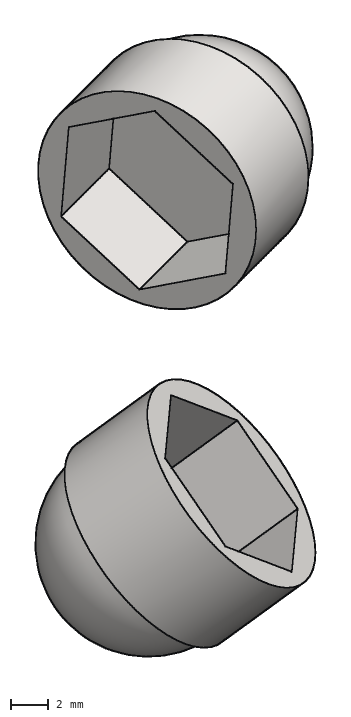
import cadquery as cq
import math

skirt_diameter = 13.0
skirt_length = 6.0
cap_length = 12.0
dome_radius = cap_length - skirt_length

socket_corner_radius = 5.67
socket_tilt = 4.6
socket_depth = 5.5


def make_body():
    """Skirt and half-ball dome, turned as one profile about the Y axis."""
    skirt_radius = skirt_diameter / 2
    dome_middle = dome_radius * math.sqrt(0.5)
    profile = (
        cq.Workplane("XY")
        .lineTo(skirt_radius, 0)
        .lineTo(skirt_radius, skirt_length)
        .lineTo(dome_radius, skirt_length)
        .threePointArc((dome_middle, skirt_length + dome_middle), (0, cap_length))
        .close()
    )
    return profile.revolve(360, (0, 0, 0), (0, 1, 0))


def make_socket():
    """Blind hexagonal socket, drawn with a corner at the top and then tilted."""
    open_end = cq.Plane(origin=(0, 0, 0), xDir=(0, 0, 1), normal=(0, 1, 0))
    hexagon = cq.Workplane(open_end).polygon(6, 2 * socket_corner_radius)
    return hexagon.extrude(socket_depth).rotate((0, 0, 0), (0, 1, 0), socket_tilt)


result = make_body().cut(make_socket())